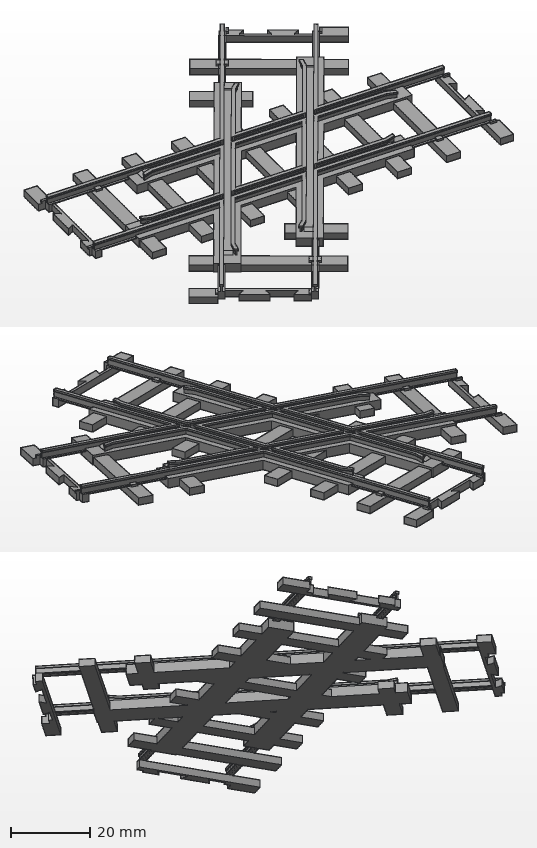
import cadquery as cq
CROSSING_ANGLE = 60

TIE_TOP = 2.0
BASE_TOP = 2.6
FLANGEWAY_FLOOR = 3.1
RAIL_TOP = 4.4

FOOT_WIDTH = 1.8
FOOT_THICKNESS = 0.2
WEB_WIDTH = 0.5
HEAD_WIDTH = 1.1
HEAD_HEIGHT = 0.6
RAIL_OFFSET = 11.8
RAIL_HALF_LENGTH = 57.7
FOOT_OUTER = RAIL_OFFSET + FOOT_WIDTH / 2
FOOT_INNER = RAIL_OFFSET - FOOT_WIDTH / 2

FLANGEWAY_WIDTH = 1.8
GUARD_OFFSET = RAIL_OFFSET - HEAD_WIDTH - FLANGEWAY_WIDTH
BASE_OUTER = 13.9
BASE_INNER = 6.9
BASE_LONG = 45.8
BASE_SHORT = 34.4
GUARD_LONG = 41.9
GUARD_SHORT = 31.7
FLARE_LENGTH = 2.6
FLARE_OFFSET = 0.8
RAMP_LENGTH = 1.3

TIE_HALF_LENGTH = 20.1
TIE_WIDTH = 4.1
STRAIGHT_TIE_COUNT = 7
STRAIGHT_TIE_PITCH = 14.28
STRAIGHT_TIE_SHIFT = -0.54
SKEW_TIE_OUTER = 43.5
SKEW_TIE_INNER = 29.3
SKEW_TIE_INNER_END = 4.1

CHAIR_WIDTH = 3.1
CHAIR_LENGTH = 1.8

END_TIE_INNER = 55.9
END_TIE_OUTER = 59.7
END_BAR_WIDTH = 0.8
END_BAR_OUTER = END_TIE_INNER + END_BAR_WIDTH
KEY_OUTER = 58.5
KEY_TAPER = 1.1
MIDDLE_KEY_LEFT = -0.5
MIDDLE_KEY_RIGHT = 7.4
SIDE_KEY_RIGHT = -6.5


def block(x0, x1, y0, y1, z0, z1):
    return cq.Workplane("XY").box(x1 - x0, y1 - y0, z1 - z0, centered=False).translate((x0, y0, z0))


def plate(points, z0, z1):
    return cq.Workplane("XY").workplane(offset=z0).polyline(points).close().extrude(z1 - z0)


def half_turn(shape):
    return shape.rotate((0, 0, 0), (0, 0, 1), 180)


def with_half_turn(shape):
    return shape.union(half_turn(shape))


def rail():
    def layer(width, z0, z1):
        return block(
            RAIL_OFFSET - width / 2, RAIL_OFFSET + width / 2, -RAIL_HALF_LENGTH, RAIL_HALF_LENGTH, z0, z1
        )

    foot = layer(FOOT_WIDTH, TIE_TOP, TIE_TOP + FOOT_THICKNESS)
    web = layer(WEB_WIDTH, TIE_TOP, RAIL_TOP)
    head = layer(HEAD_WIDTH, RAIL_TOP - HEAD_HEIGHT, RAIL_TOP)
    return foot.union(web).union(head)


def guard_layer(width, z0, z1):
    """Bar on the -X side whose two ends flare away from the running rail."""
    outer = -GUARD_OFFSET - width / 2
    inner = outer + width
    long_bend = GUARD_LONG - FLARE_LENGTH
    short_bend = GUARD_SHORT - FLARE_LENGTH
    points = [
        (outer + FLARE_OFFSET, GUARD_LONG),
        (outer, long_bend),
        (outer, -short_bend),
        (outer + FLARE_OFFSET, -GUARD_SHORT),
        (inner + FLARE_OFFSET, -GUARD_SHORT),
        (inner, -short_bend),
        (inner, long_bend),
        (inner + FLARE_OFFSET, GUARD_LONG),
    ]
    return plate(points, z0, z1)


def flangeway_floor():
    """Raised floor between rail and guard, ramped down to the base at both ends."""
    profile = [
        (-GUARD_SHORT, BASE_TOP),
        (-GUARD_SHORT + RAMP_LENGTH, FLANGEWAY_FLOOR),
        (GUARD_LONG - RAMP_LENGTH, FLANGEWAY_FLOOR),
        (GUARD_LONG, BASE_TOP),
    ]
    width = RAIL_OFFSET - GUARD_OFFSET
    return cq.Workplane("YZ").polyline(profile).close().extrude(width).translate((-RAIL_OFFSET, 0, 0))


def base_strip():
    """Base under the -X rail, carrying the flangeway floor and the guard rail."""
    base = block(-BASE_OUTER, -BASE_INNER, -BASE_SHORT, BASE_LONG, 0, BASE_TOP)
    web = guard_layer(WEB_WIDTH, BASE_TOP, RAIL_TOP)
    head = guard_layer(HEAD_WIDTH, RAIL_TOP - HEAD_HEIGHT, RAIL_TOP)
    return base.union(flangeway_floor()).union(web).union(head)


def flangeway_gap():
    """Clearance above the floor beside the -X rail."""
    x0 = -RAIL_OFFSET + HEAD_WIDTH / 2
    return block(x0, x0 + FLANGEWAY_WIDTH, -GUARD_SHORT, GUARD_LONG, FLANGEWAY_FLOOR, RAIL_TOP)


def tie(y, x0=-TIE_HALF_LENGTH, x1=TIE_HALF_LENGTH):
    return block(x0, x1, y - TIE_WIDTH / 2, y + TIE_WIDTH / 2, 0, TIE_TOP)


def chair(x0, x1, y):
    return block(x0, x1, y - CHAIR_LENGTH / 2, y + CHAIR_LENGTH / 2, TIE_TOP, BASE_TOP)


def chaired_tie(y):
    body = tie(y)
    for x in (-RAIL_OFFSET, RAIL_OFFSET):
        body = body.union(chair(x - CHAIR_WIDTH / 2, x + CHAIR_WIDTH / 2, y))
    return body


def track_end():
    """Coupling at the +Y end of a track."""
    stub = block(FOOT_OUTER, TIE_HALF_LENGTH, END_TIE_INNER, END_TIE_OUTER, 0, TIE_TOP)
    bar = block(-FOOT_OUTER, FOOT_OUTER, END_TIE_INNER, END_BAR_OUTER, 0, TIE_TOP)
    middle_key = plate(
        [
            (MIDDLE_KEY_LEFT + KEY_TAPER, END_BAR_OUTER),
            (MIDDLE_KEY_RIGHT - KEY_TAPER, END_BAR_OUTER),
            (MIDDLE_KEY_RIGHT, KEY_OUTER),
            (MIDDLE_KEY_LEFT, KEY_OUTER),
        ],
        0,
        TIE_TOP,
    )
    side_key = plate(
        [
            (-FOOT_INNER, END_BAR_OUTER),
            (SIDE_KEY_RIGHT - KEY_TAPER, END_BAR_OUTER),
            (SIDE_KEY_RIGHT, KEY_OUTER),
            (-FOOT_INNER, KEY_OUTER),
        ],
        0,
        TIE_TOP,
    )
    body = stub.union(bar).union(middle_key).union(side_key)

    for foot_edge in (-FOOT_OUTER, FOOT_INNER):
        seat = block(foot_edge, foot_edge + FOOT_WIDTH, END_TIE_INNER, RAIL_HALF_LENGTH, 0, TIE_TOP)
        body = body.union(seat)

    chair_y = (END_TIE_INNER + END_TIE_OUTER) / 2
    chair_reach = (CHAIR_WIDTH - FOOT_WIDTH) / 2
    for foot_edge in (FOOT_OUTER, -FOOT_INNER):
        body = body.union(chair(foot_edge, foot_edge + chair_reach, chair_y))
    return body


def straight_ties():
    middle = STRAIGHT_TIE_COUNT // 2
    last = middle * STRAIGHT_TIE_PITCH
    body = chaired_tie(last + STRAIGHT_TIE_SHIFT).union(chaired_tie(-last + STRAIGHT_TIE_SHIFT))
    for i in range(1 - middle, middle):
        body = body.union(tie(i * STRAIGHT_TIE_PITCH + STRAIGHT_TIE_SHIFT))
    return body


def skew_ties():
    short_tie = tie(SKEW_TIE_INNER, x0=-TIE_HALF_LENGTH, x1=-SKEW_TIE_INNER_END)
    return with_half_turn(chaired_tie(SKEW_TIE_OUTER).union(short_tie))


def turn(shape):
    return shape.rotate((0, 0, 0), (0, 0, 1), CROSSING_ANGLE)


def mirror_sides(shape):
    return shape.mirror("YZ")


rails = with_half_turn(rail())
ends = with_half_turn(track_end())
strips = with_half_turn(base_strip())
gaps = with_half_turn(flangeway_gap())

straight_track = rails.union(strips).union(ends).union(straight_ties())
skew_track = turn(rails.union(mirror_sides(strips)).union(ends).union(skew_ties()))

result = straight_track.union(skew_track).cut(gaps).cut(turn(mirror_sides(gaps)))